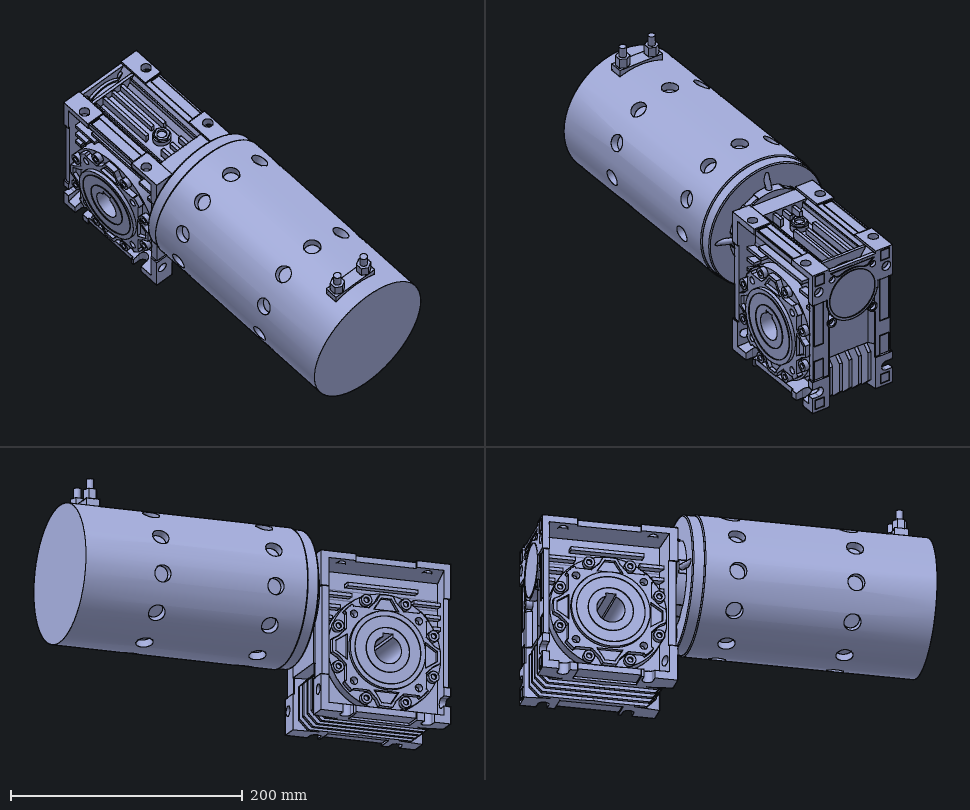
import cadquery as cq
import math


LENGTH = 346.0
BOX_LENGTH = 120.5
BOX_BOTTOM = -59.0
BOX_TOP = 84.8
SHAFT_X = 60.0
MOTOR_Z = 50.0

FRAME_OUTER = 42.2
FRAME_INNER = 24.2
RAIL_RELIEF = 1.5
RELIEF_X = (31.5, 88.0)
RELIEF_Z = (-26.5, 53.3)
BOTTOM_RELIEF = 2.0
WINDOW_MOUTH = (6.2, 112.8, -52.0, 78.5)
WINDOW_FLOOR = (6.2, 107.5, -47.0, 70.5)
FLOOR_Y = 27.0
CORE_LEFT = 6.2
CORE_RIGHT = 112.8
GEAR_RADIUS = 46.7
GEAR_HALF_WIDTH = 18.0
WORM_RADIUS = 24.5
WORM_BULGE_RADIUS = 27.5
CORE_LOW = -12.5

MOUNT_HOLE = 9.0
SLOT_WIDTH = 9.7
HOLE_Y = 35.5
SLOT_END_Y = 30.8
TOP_HOLE_X = (19.7, 99.5)
TOP_HOLE_DEPTH = 8.5
BOTTOM_SLOT_X = (19.7, 95.0)
END_HOLE_Z = 65.0
END_HOLE_DEPTH = 4.0
END_SLOT_Z = -39.0
PAD_Y = (29.8, 39.0)
PAD_DEPTH = 0.7
TOP_PAD_INSET = 1.0
END_PADS_Z = [(72.3, 82.7), (8.5, RELIEF_Z[1]), (RELIEF_Z[0], -7.0), (-56.0, -46.7)]

FLANGE_RADIUS = 52.2
STAR_RADIUS = 50.0
FLANGE_Y = 43.0
STAR_HEIGHT = 5.2
HUB_DIAMETER = 70.0
HUB_Y = 46.5
SEAL_DIAMETER = 61.0
SEAL_RECESS = 0.7
SHAFT_DIAMETER = 40.0
BORE_DIAMETER = 25.0
KEYWAY_WIDTH = 9.0
KEYWAY_TOP = 14.5
FLANGE_HOLE = 6.5
FLANGE_HOLE_OFFSET = 30.0
FLANGE_HOLE_DEPTH = 8.5
BOLT_CIRCLE_RADIUS = 47.7
BOLT_HEAD = 9.7
BOLT_HEAD_HEIGHT = 5.0
BOLT_SOCKET = 5.0
SOCKET_DEPTH = 2.5
BOLT_COUNT = 8
BOLT_POCKET = [(6.0, 50.0), (9.0, 44.3), (16.3, 37.0), (30.0, 37.0), (32.0, 38.8), (41.5, 48.5), (6.0, 58.8)]
LIGHTENING_POCKET = [(-11.5, 36.5), (11.5, 36.5), (4.5, 47.0), (-4.5, 47.0)]
LIGHTENING_DEPTH = 3.5

RIB_THICKNESS = 3.0
RIB_OUTER = 34.3
LONG_RIB_Z = 59.0
LONG_RIB_HALF = 32.5
SHORT_RIBS = [(49.5, 28.7), (38.0, 39.5), (27.7, 46.7)]

FIN_PITCH = 10.0
FIN_THICKNESS = 3.0
FIN_CHAMFER = 8.5
FIN_X = (3.5, 116.3)
TRENCH_X = (17.0, 103.0)
TRENCH_FLOOR_HALF = 15.2
TRENCH_FLOOR_Z = 69.2
TOP_FIN_Z = 80.3
LEDGE_THICKNESS = 1.5
FIN_RIGHT_START = 92.0
FIN_LEFT_ENDS = {0: 68.0, 1: 72.3}
SLIT_X = (3.5, 14.2)
PLUG_X = 80.0
PLUG_DIAMETER = 16.0
PLUG_HEX = 12.5
PLUG_SOCKET = 8.5
PLUG_TOP = 81.5

COVER_THICKNESS = 3.5
COVER_TOP = 82.5
COVER_HALF = 26.5
COVER_SHOULDER_Z = 45.5
COVER_RADIUS = 26.3
CAP_RADIUS = 24.0
CAP_RECESS = 0.7
COVER_SCREW = 6.0
COVER_SCREW_Y = 21.5
COVER_SCREW_OFFSET = 22.5
COVER_LUG_RADIUS = 4.5
COVER_POCKET_DEPTH = 1.0
COVER_POCKET = [(-23.0, 79.2), (23.0, 79.2), (16.3, 73.5), (-16.3, 73.5)]

PAD_HALF = 20.5
PAD_Z = (CORE_LOW, 21.0)
LOW_WEDGE_INNER = 17.3

NECK_DIAMETER = 78.5
NECK_END = 129.0
END_BELL_DIAMETER = 121.0
END_BELL_END = 139.5
MOTOR_DIAMETER = 123.5
MOTOR_CHAMFER = 1.0
NECK_NOTCH_WIDTH = 12.5
NECK_NOTCH_DEPTH = 1.5
NECK_NOTCH_X = 122.0
NECK_NOTCHES = 6
GUSSET_DIAMETER = 5.5
GUSSET_START_X = 123.0
GUSSET_REACH = 54.3
VENT_DIAMETER = 15.0
VENT_DEPTH = 7.5
VENT_ROWS_X = (169.5, 274.5)
VENTS_PER_ROW = 11

TERMINAL_X = 324.0
TERMINAL_LENGTH = 12.5
TERMINAL_WIDTH = 45.0
TERMINAL_TOP = 114.2
STUD_Y = 15.2
NUT_ACROSS = 11.0
NUT_TOP = 123.5
STUD_DIAMETER = 6.5
STUD_TOP = 133.2

SIDES = (-1, 1)


def block(x_range, y_range, z_range):
    """Box between pairs of coordinates; each pair may be in either order."""
    ranges = [sorted(pair) for pair in (x_range, y_range, z_range)]
    sizes = [high - low for low, high in ranges]
    corner = tuple(low for low, high in ranges)
    return cq.Workplane("XY").box(*sizes, centered=False).translate(corner)


def rod_x(diameter, x_start, x_end, y=0, z=MOTOR_Z):
    return cq.Workplane("YZ", origin=(x_start, y, z)).circle(diameter / 2).extrude(x_end - x_start)


def rod_z(diameter, x, y, z_start, z_end):
    return cq.Workplane("XY", origin=(x, y, z_start)).circle(diameter / 2).extrude(z_end - z_start)


def hex_z(across, x, y, z_start, z_end):
    corners = across / math.cos(math.pi / 6)
    return cq.Workplane("XY", origin=(x, y, z_start)).polygon(6, corners).extrude(z_end - z_start)


def shaft_plane(y):
    """Plane square to the output shaft, with local x = X and local y = Z; it extrudes toward -Y."""
    return cq.Workplane("XZ", origin=(SHAFT_X, y, 0))


def on_both_sides(near):
    """A -Y side feature together with its mirror image on the +Y side."""
    return near.union(near.mirror("XZ"))



def frame_reliefs():
    """Shallow steps that leave the corners of the frame standing proud."""
    face = -(FRAME_OUTER - RAIL_RELIEF)
    depth = (-FRAME_OUTER, -FRAME_INNER)
    steps = block(RELIEF_X, (-FRAME_OUTER, face), (BOX_BOTTOM, BOX_TOP))
    steps = steps.union(block((0, BOX_LENGTH), (-FRAME_OUTER, face), RELIEF_Z))
    steps = steps.union(block(RELIEF_X, depth, (BOX_TOP - RAIL_RELIEF, BOX_TOP)))
    steps = steps.union(block(RELIEF_X, depth, (BOX_BOTTOM, BOX_BOTTOM + BOTTOM_RELIEF)))
    steps = steps.union(block((0, RAIL_RELIEF), depth, RELIEF_Z))
    return steps.union(block((BOX_LENGTH - RAIL_RELIEF, BOX_LENGTH), depth, RELIEF_Z))


def frame_window():
    """Window whose top, bottom and right walls slope in toward its floor."""
    def rectangle(work, bounds):
        left, right, low, high = bounds
        return work.moveTo(left, low).lineTo(right, low).lineTo(right, high).lineTo(left, high).close()

    floor = rectangle(cq.Workplane("XZ", origin=(0, -FLOOR_Y, 0)), WINDOW_FLOOR)
    return rectangle(floor.workplane(offset=FRAME_OUTER - FLOOR_Y), WINDOW_MOUTH).loft(ruled=True)


def frame_mounting_cuts():
    """Holes in the top and end rails, slots open to the outer face and shallow pads."""
    wall_left = (0, WINDOW_MOUTH[0])
    slot_y = (-FRAME_OUTER, -SLOT_END_Y - MOUNT_HOLE / 2)
    half_hole = MOUNT_HOLE / 2
    cuts = rod_x(MOUNT_HOLE, 0, END_HOLE_DEPTH, -HOLE_Y, END_HOLE_Z)
    cuts = cuts.union(rod_x(MOUNT_HOLE, WINDOW_FLOOR[1], BOX_LENGTH, -HOLE_Y, END_SLOT_Z))
    cuts = cuts.union(block(wall_left, slot_y, (END_SLOT_Z - half_hole, END_SLOT_Z + half_hole)))
    cuts = cuts.union(rod_x(MOUNT_HOLE, *wall_left, slot_y[1], END_SLOT_Z))
    for x in TOP_HOLE_X:
        cuts = cuts.union(rod_z(MOUNT_HOLE, x, -HOLE_Y, BOX_TOP - TOP_HOLE_DEPTH, BOX_TOP))
    bottom_z = (BOX_BOTTOM, WINDOW_FLOOR[2])
    for x in BOTTOM_SLOT_X:
        round_y = -SLOT_END_Y - SLOT_WIDTH / 2
        cuts = cuts.union(rod_z(SLOT_WIDTH, x, round_y, *bottom_z))
        slot_x = (x - SLOT_WIDTH / 2, x + SLOT_WIDTH / 2)
        cuts = cuts.union(block(slot_x, (-FRAME_OUTER, round_y), bottom_z))
    pad_y = (-PAD_Y[0], -PAD_Y[1])
    for pad_z in END_PADS_Z:
        recessed = RELIEF_Z[0] <= pad_z[0] and pad_z[1] <= RELIEF_Z[1]
        floor = PAD_DEPTH + (RAIL_RELIEF if recessed else 0)
        cuts = cuts.union(block((0, floor), pad_y, pad_z))
    pad_z = (BOX_TOP - RAIL_RELIEF - PAD_DEPTH, BOX_TOP)
    pad_x = (RELIEF_X[0] + TOP_PAD_INSET, RELIEF_X[1] - TOP_PAD_INSET)
    return cuts.union(block(pad_x, pad_y, pad_z))


def window_ribs():
    """Horizontal ribs standing on the window floor, plus the short pairs beside the flange."""
    depth = (-FLOOR_Y, -RIB_OUTER)

    def rib(x_range, z):
        return block(x_range, depth, (z - RIB_THICKNESS / 2, z + RIB_THICKNESS / 2))

    ribs = rib((SHAFT_X - LONG_RIB_HALF, SHAFT_X + LONG_RIB_HALF), LONG_RIB_Z)
    for z, inner_end in SHORT_RIBS:
        ribs = ribs.union(rib((WINDOW_MOUTH[0], SHAFT_X - inner_end), z))
        ribs = ribs.union(rib((SHAFT_X + inner_end, WINDOW_MOUTH[1]), z))
    return ribs


def side_frame():
    frame = block((0, BOX_LENGTH), (-FRAME_OUTER, -FRAME_INNER), (BOX_BOTTOM, BOX_TOP))
    return frame.cut(frame_window()).cut(frame_reliefs()).cut(frame_mounting_cuts()).union(window_ribs())



def bolt_pockets():
    """Open pockets around the bolts: one outline mirrored and turned to all eight."""
    depth = STAR_HEIGHT
    single = shaft_plane(-FLANGE_Y + depth).polyline(BOLT_POCKET).close().extrude(depth)
    mirrored = [(-x, z) for x, z in BOLT_POCKET]
    pair = single.union(shaft_plane(-FLANGE_Y + depth).polyline(mirrored).close().extrude(depth))
    return turned_four_times(pair)


def turned_four_times(shape):
    axis = ((SHAFT_X, 0, 0), (SHAFT_X, 1, 0))
    turned = shape
    for quarter in range(1, 4):
        turned = turned.union(shape.rotate(*axis, 90 * quarter))
    return turned


def output_flange():
    """Round flange with a star-shaped raised pad, eight socket bolts and a stepped hub."""
    seat_y = -FLANGE_Y + STAR_HEIGHT
    flange = shaft_plane(-FLOOR_Y).circle(FLANGE_RADIUS).extrude(-seat_y - FLOOR_Y)
    star = shaft_plane(seat_y).circle(STAR_RADIUS).extrude(STAR_HEIGHT).cut(bolt_pockets())
    lightening = shaft_plane(-FLANGE_Y + LIGHTENING_DEPTH).polyline(LIGHTENING_POCKET).close()
    star = star.cut(turned_four_times(lightening.extrude(LIGHTENING_DEPTH)))
    flange = flange.union(star)
    tapped = shaft_plane(-FLANGE_Y + FLANGE_HOLE_DEPTH)
    tapped = tapped.rect(2 * FLANGE_HOLE_OFFSET, 2 * FLANGE_HOLE_OFFSET, forConstruction=True).vertices()
    flange = flange.cut(tapped.circle(FLANGE_HOLE / 2).extrude(FLANGE_HOLE_DEPTH))
    first_angle = 180 / BOLT_COUNT

    def bolt_circle(y, diameter, height):
        centres = shaft_plane(y).polarArray(BOLT_CIRCLE_RADIUS, first_angle, 360, BOLT_COUNT)
        return centres.circle(diameter / 2).extrude(height)

    head_top = seat_y - BOLT_HEAD_HEIGHT
    flange = flange.union(bolt_circle(seat_y, BOLT_HEAD, BOLT_HEAD_HEIGHT))
    flange = flange.cut(bolt_circle(head_top + SOCKET_DEPTH, BOLT_SOCKET, SOCKET_DEPTH))
    hub = shaft_plane(-FLANGE_Y).circle(HUB_DIAMETER / 2).extrude(HUB_Y - FLANGE_Y)
    seal = shaft_plane(-HUB_Y + SEAL_RECESS).circle(SEAL_DIAMETER / 2).circle(SHAFT_DIAMETER / 2)
    return flange.union(hub.cut(seal.extrude(SEAL_RECESS)))


def shaft_bore():
    bore = shaft_plane(HUB_Y).circle(BORE_DIAMETER / 2).extrude(2 * HUB_Y)
    half = KEYWAY_WIDTH / 2
    return bore.union(block((SHAFT_X - half, SHAFT_X + half), (-HUB_Y, HUB_Y), (0, KEYWAY_TOP)))



def top_trench():
    """Trough with sloping walls above the worm housing."""
    outline = [
        (-FRAME_INNER, COVER_TOP), (-TRENCH_FLOOR_HALF, TRENCH_FLOOR_Z), (-TRENCH_FLOOR_HALF, MOTOR_Z),
        (TRENCH_FLOOR_HALF, MOTOR_Z), (TRENCH_FLOOR_HALF, TRENCH_FLOOR_Z), (FRAME_INNER, COVER_TOP),
    ]
    trench = cq.Workplane("YZ", origin=(SLIT_X[0], 0, 0)).polyline(outline).close()
    trench = trench.extrude(TRENCH_X[1] - SLIT_X[0])
    cross_wall = block((SLIT_X[1], TRENCH_X[0]), (-FRAME_INNER, FRAME_INNER), (MOTOR_Z, BOX_TOP))
    return trench.cut(cross_wall)


def core():
    """Worm and gear housings; the worm housing bulges slightly through the window floors."""
    width = (-FRAME_INNER, FRAME_INNER)
    body = block((CORE_LEFT, CORE_RIGHT), width, (CORE_LOW, MOTOR_Z))
    body = body.union(shaft_plane(GEAR_HALF_WIDTH).circle(GEAR_RADIUS).extrude(2 * GEAR_HALF_WIDTH))
    body = body.union(block((0, BOX_LENGTH), width, (MOTOR_Z, COVER_TOP)))
    body = body.union(block((TRENCH_X[1], BOX_LENGTH), width, (CORE_LOW, COVER_TOP)))
    body = body.union(rod_x(2 * WORM_BULGE_RADIUS, CORE_LEFT, CORE_RIGHT)).cut(top_trench())
    return body.union(rod_x(2 * WORM_RADIUS, COVER_THICKNESS, CORE_RIGHT))


def side_wedges():
    """Sloping walls that join the frames to the core: steep beside the pad, long below the core."""
    def wedge(depth, inner, z_low, z_high):
        outline = [(0, -FRAME_INNER), (depth, -FRAME_INNER), (depth, -inner)]
        return cq.Workplane("XY", origin=(0, 0, z_low)).polyline(outline).close().extrude(z_high - z_low)

    low_wedge = wedge(SHAFT_X, LOW_WEDGE_INNER, BOX_BOTTOM, CORE_LOW)
    low_wedge = low_wedge.union(low_wedge.mirror("YZ", (SHAFT_X, 0, 0)))
    return on_both_sides(low_wedge.union(wedge(CORE_LEFT, PAD_HALF, *PAD_Z)))


def bottom_fins():
    """Five upright fins under the gear housing, with sloping ends."""
    left, right = FIN_X
    foot = BOX_BOTTOM + FIN_CHAMFER
    outline = [
        (left + FIN_CHAMFER, BOX_BOTTOM), (right - FIN_CHAMFER, BOX_BOTTOM), (right, foot),
        (right, CORE_LOW - FIN_CHAMFER), (right - FIN_CHAMFER, CORE_LOW),
        (left + FIN_CHAMFER, CORE_LOW), (left, CORE_LOW - FIN_CHAMFER), (left, foot),
    ]
    fins = cq.Workplane("XY")
    for place in range(-2, 3):
        plane = cq.Workplane("XZ", origin=(0, place * FIN_PITCH + FIN_THICKNESS / 2, 0))
        fins = fins.union(plane.polyline(outline).close().extrude(FIN_THICKNESS))
    return fins


def top_fins():
    """Three fins along the trench, interrupted around the plug, and a thin ledge on each sloping wall."""
    fins = cq.Workplane("XY")
    for place in range(-2, 3):
        y = place * FIN_PITCH
        thickness = FIN_THICKNESS if abs(place) in FIN_LEFT_ENDS else LEDGE_THICKNESS
        y_range = (y - thickness / 2, y + thickness / 2)
        z_range = (MOTOR_Z, TOP_FIN_Z)
        left_end = FIN_LEFT_ENDS.get(abs(place), FIN_RIGHT_START)
        fins = fins.union(block((TRENCH_X[0], left_end), y_range, z_range))
        fins = fins.union(block((FIN_RIGHT_START, TRENCH_X[1]), y_range, z_range))
    return fins


def vent_plug():
    collar_top = PLUG_TOP - SOCKET_DEPTH
    plug = rod_z(PLUG_DIAMETER, PLUG_X, 0, MOTOR_Z, collar_top)
    plug = plug.union(hex_z(PLUG_HEX, PLUG_X, 0, collar_top, PLUG_TOP))
    return plug.cut(rod_z(PLUG_SOCKET, PLUG_X, 0, collar_top, PLUG_TOP))


def cover_screw_places():
    return [(y * COVER_SCREW_Y, MOTOR_Z + z * COVER_SCREW_OFFSET) for y in SIDES for z in SIDES]


def end_cover():
    """Cover over the worm bearing: a shouldered plate, a round lower edge and screw lugs."""
    depth = CORE_LEFT
    cover = block((0, COVER_THICKNESS), (-COVER_HALF, COVER_HALF), (COVER_SHOULDER_Z, COVER_TOP))
    cover = cover.union(rod_x(2 * COVER_RADIUS, 0, depth))
    for y, z in cover_screw_places():
        cover = cover.union(rod_x(2 * COVER_LUG_RADIUS, 0, depth, y, z))
    return cover


def end_cover_cuts():
    """Recessed cap, screw holes and a shallow pocket above the cap."""
    pocket = cq.Workplane("YZ").polyline(COVER_POCKET).close().extrude(COVER_POCKET_DEPTH)
    pocket = pocket.cut(rod_x(2 * COVER_RADIUS, 0, COVER_POCKET_DEPTH))
    cuts = pocket.union(rod_x(2 * CAP_RADIUS, 0, CAP_RECESS))
    for y, z in cover_screw_places():
        cuts = cuts.union(rod_x(COVER_SCREW, 0, COVER_THICKNESS, y, z))
    return cuts



def neck():
    """Round neck with six shallow notches next to the end bell."""
    body = rod_x(NECK_DIAMETER, BOX_LENGTH, NECK_END)
    radius = NECK_DIAMETER / 2
    half = NECK_NOTCH_WIDTH / 2
    notch = block((NECK_NOTCH_X, NECK_END), (radius - NECK_NOTCH_DEPTH, radius), (-half, half))
    for index in range(NECK_NOTCHES):
        turned = notch.rotate((0, 0, 0), (1, 0, 0), 360 / NECK_NOTCHES * index)
        body = body.cut(turned.translate((0, 0, MOTOR_Z)))
    return body


def gussets():
    """Four sloping round gussets from the neck to the face of the end bell."""
    radius = NECK_DIAMETER / 2
    rise = GUSSET_REACH - radius
    run = NECK_END - GUSSET_START_X
    length = math.hypot(rise, run)
    lean = math.degrees(math.atan2(run, rise))
    rod = cq.Workplane("XY").center(GUSSET_DIAMETER / 2, 0).circle(GUSSET_DIAMETER / 2)
    rod = rod.extrude(2 * length).translate((0, 0, -length / 2)).rotate((0, 0, 0), (0, 1, 0), lean)
    rod = rod.translate((GUSSET_START_X, 0, radius))
    width = (-GUSSET_DIAMETER, GUSSET_DIAMETER)
    neck_to_tip = (radius - GUSSET_DIAMETER / 2, GUSSET_REACH + GUSSET_DIAMETER)
    rod = rod.intersect(block((BOX_LENGTH, END_BELL_END), width, neck_to_tip))
    together = cq.Workplane("XY")
    for quarter in range(4):
        together = together.union(rod.rotate((0, 0, 0), (1, 0, 0), 90 * quarter))
    return together.translate((0, 0, MOTOR_Z))


def motor_body():
    body = rod_x(MOTOR_DIAMETER, END_BELL_END, LENGTH).faces("<X").chamfer(MOTOR_CHAMFER)
    radius = MOTOR_DIAMETER / 2
    for x in VENT_ROWS_X:
        vent = rod_z(VENT_DIAMETER, x, 0, radius - VENT_DEPTH, radius)
        for index in range(VENTS_PER_ROW):
            turned = vent.rotate((0, 0, 0), (1, 0, 0), 360 / VENTS_PER_ROW * index)
            body = body.cut(turned.translate((0, 0, MOTOR_Z)))
    end_bell = rod_x(END_BELL_DIAMETER, NECK_END, END_BELL_END).faces("<X").chamfer(MOTOR_CHAMFER)
    return body.union(end_bell)


def terminals():
    half_length = TERMINAL_LENGTH / 2
    half_width = TERMINAL_WIDTH / 2
    x_range = (TERMINAL_X - half_length, TERMINAL_X + half_length)
    posts = block(x_range, (-half_width, half_width), (MOTOR_Z, TERMINAL_TOP))
    for side in SIDES:
        y = side * STUD_Y
        posts = posts.union(hex_z(NUT_ACROSS, TERMINAL_X, y, TERMINAL_TOP, NUT_TOP))
        posts = posts.union(rod_z(STUD_DIAMETER, TERMINAL_X, y, NUT_TOP, STUD_TOP))
    return posts


gearbox = core().union(on_both_sides(side_frame())).union(side_wedges())
gearbox = gearbox.union(bottom_fins()).union(top_fins()).union(vent_plug())
gearbox = gearbox.union(end_cover()).cut(end_cover_cuts())
gearbox = gearbox.union(on_both_sides(output_flange())).cut(shaft_bore())
motor = motor_body().union(neck()).union(gussets()).union(terminals())
result = gearbox.union(motor)